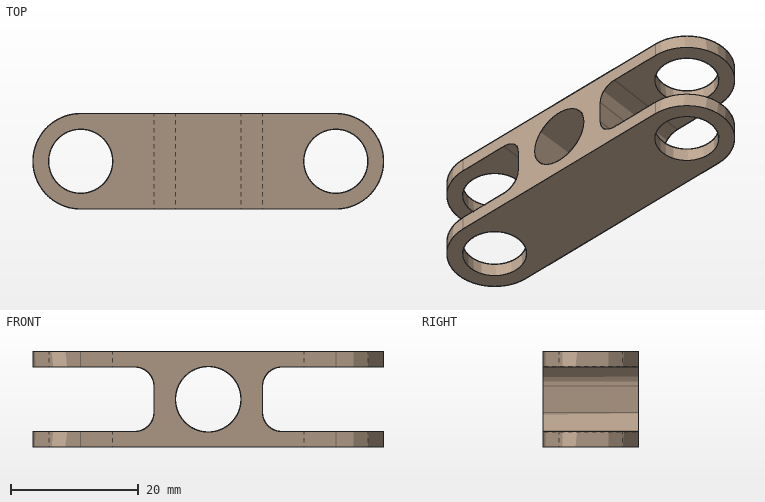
import cadquery as cq

length = 55.0
width = 15.0
height = 15.0
plate_thickness = 2.5
web_length = 17.05
fillet_radius = 2.95
pin_hole_diameter = 10.0
cross_hole_diameter = 10.25

pin_spacing = length - width
slot_height = height - 2 * plate_thickness
slot_depth = (length - web_length) / 2


def link_body():
    """Solid link with full-round ends, centred on the origin."""
    return cq.Workplane("XY").slot2D(length, width).extrude(height / 2, both=True)


def end_slot(side):
    """Cutter for the fork gap at one end; side is -1 or +1 along X."""
    centre_x = side * (web_length + slot_depth) / 2
    inner_edges = "|Y and <X" if side > 0 else "|Y and >X"
    return (
        cq.Workplane("XY")
        .box(slot_depth, width, slot_height)
        .edges(inner_edges)
        .fillet(fillet_radius)
        .translate((centre_x, 0, 0))
    )


def pin_holes():
    """Vertical cutters concentric with the rounded ends."""
    return (
        cq.Workplane("XY")
        .pushPoints([(-pin_spacing / 2, 0), (pin_spacing / 2, 0)])
        .circle(pin_hole_diameter / 2)
        .extrude(height / 2, both=True)
    )


def cross_hole():
    """Cutter through the central web along Y."""
    return cq.Workplane("XZ").circle(cross_hole_diameter / 2).extrude(width / 2, both=True)


result = link_body()
for side in (-1, 1):
    result = result.cut(end_slot(side))
result = result.cut(pin_holes()).cut(cross_hole())